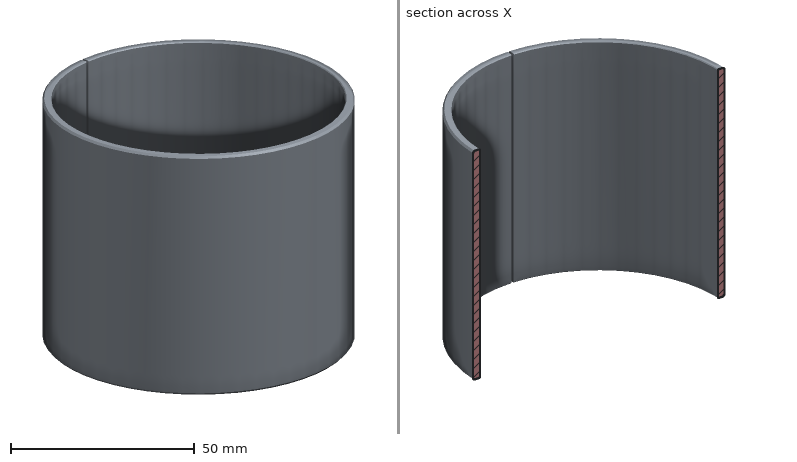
import cadquery as cq

outer_diameter = 85.0
wall = 2.5
height = 70.0

outer_chamfer_height = 0.6
outer_chamfer_depth = 0.5
bore_chamfer = 0.25

slit_width = 0.8

outer_radius = outer_diameter / 2
bore_radius = outer_radius - wall

wall_profile = [
    (bore_radius, bore_chamfer),
    (bore_radius + bore_chamfer, 0),
    (outer_radius - outer_chamfer_depth, 0),
    (outer_radius, outer_chamfer_height),
    (outer_radius, height - outer_chamfer_height),
    (outer_radius - outer_chamfer_depth, height),
    (bore_radius + bore_chamfer, height),
    (bore_radius, height - bore_chamfer),
]
sleeve = cq.Workplane("XZ").polyline(wall_profile).close().revolve(360, (0, 0, 0), (0, 1, 0))

slit = cq.Workplane("XY").box(outer_diameter, slit_width, height, centered=(True, False, False))
slit = slit.translate((-outer_radius, 0, 0))

result = sleeve.cut(slit)